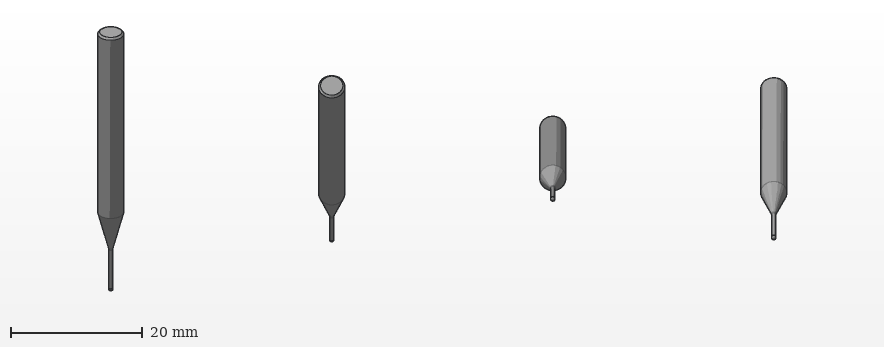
import cadquery as cq
import math

TOTAL_LENGTH = 45.0
SHANK_RADIUS = 2.002
SHANK_BOTTOM = 13.7
END_CHAMFER = 0.3
TAPER_BOTTOM = 7.42
TAPER_RADIUS = 0.35
NECK_TOP = 7.15
NECK_RADIUS = 0.3
CUTTER_RADIUS = 0.35
CUTTER_LENGTH = 0.5


def make_cutter():
    """Ball-nosed cutting head."""
    arc_offset = CUTTER_RADIUS * math.sqrt(0.5)
    return (
        cq.Workplane("XZ")
        .moveTo(0, 0)
        .threePointArc(
            (arc_offset, CUTTER_RADIUS - arc_offset),
            (CUTTER_RADIUS, CUTTER_RADIUS),
        )
        .lineTo(CUTTER_RADIUS, CUTTER_LENGTH)
        .lineTo(0, CUTTER_LENGTH)
        .close()
        .revolve(360, (0, 0), (0, 1))
    )


def make_holder():
    """Neck, taper and chamfered shank, seated on top of the cutting head."""
    return (
        cq.Workplane("XZ")
        .moveTo(0, CUTTER_LENGTH)
        .lineTo(NECK_RADIUS, CUTTER_LENGTH)
        .lineTo(NECK_RADIUS, NECK_TOP)
        .lineTo(TAPER_RADIUS, TAPER_BOTTOM)
        .lineTo(SHANK_RADIUS, SHANK_BOTTOM)
        .lineTo(SHANK_RADIUS, TOTAL_LENGTH - END_CHAMFER)
        .lineTo(SHANK_RADIUS - END_CHAMFER, TOTAL_LENGTH)
        .lineTo(0, TOTAL_LENGTH)
        .close()
        .revolve(360, (0, 0), (0, 1))
    )


cutter = make_cutter()
holder = make_holder()

result = cq.Compound.makeCompound([cutter.val(), holder.val()])